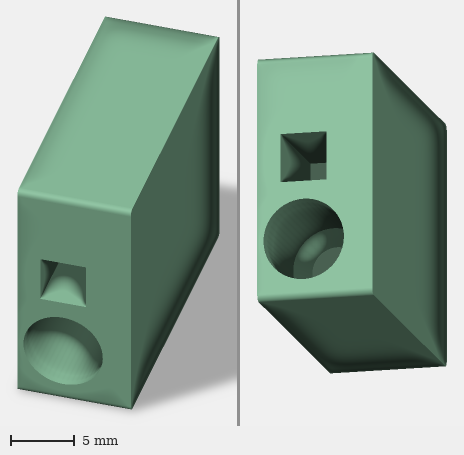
import cadquery as cq

width = 9.3
length = 24.15
height = 19.6
corner_radius = 0.48
front_y = -length / 2

entry_x = -0.9
entry_z = 4.78
entry_diameter = 6.5
floor_diameter = 4.03
bore_depth = 9.65
funnel_depth = (entry_diameter - floor_diameter) / 2

slot_width = 3.72
slot_height = 3.9
slot_z = 11.42
slot_depth = 9.65


def make_body():
    """Block with its four X-direction edges rounded."""
    block = cq.Workplane("XY").box(width, length, height, centered=(True, True, False))
    return block.edges("|X").fillet(corner_radius)


def make_entry():
    """Straight bore from the front face, ending in a cone with a flat floor."""
    bore_radius = entry_diameter / 2
    inward = cq.Vector(0, 1, 0)
    mouth = cq.Vector(entry_x, front_y, entry_z)
    bore = cq.Solid.makeCylinder(bore_radius, bore_depth, mouth, inward)
    bore_end = mouth + inward * bore_depth
    funnel = cq.Solid.makeCone(bore_radius, floor_diameter / 2, funnel_depth, bore_end, inward)
    return cq.Workplane(obj=bore.fuse(funnel))


def make_slot():
    """Straight rectangular pocket, in line with the wire entry."""
    slot = cq.Workplane("XY").box(slot_width, slot_depth, slot_height)
    return slot.translate((entry_x, front_y + slot_depth / 2, slot_z))


result = make_body().cut(make_entry()).cut(make_slot())